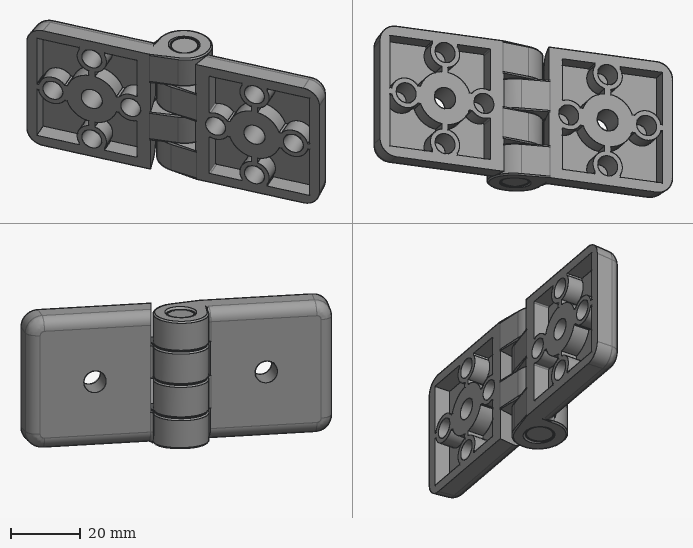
import cadquery as cq
import math

HALF_LENGTH = 45.05
HEIGHT = 40.0
PLATE_THICKNESS = 8.65
DRAFT = 3.0
CORNER_RADIUS = 5.0
RIM_RADIUS = 3.7

AXIS_Y = 9.0
BARREL_RADIUS = 8.0
KNUCKLE_CHAMFER = 0.45
KNUCKLE_GAP = 0.3
KNUCKLE_COUNT = 4
SLOPE_START = 7.2
KNUCKLE_ROOT = 10.8
FILLET_RADIUS = 0.8
PIN_RADIUS = 4.1
PIN_LENGTH = 38.2
PIN_CHAMFER = 0.4
PIN_HOLE_CHAMFER = 0.405

CLEARANCE_FRONT = 6.9
CLEARANCE_BACK = 8.7

POCKET_WALL = 3.1
POCKET_HINGE_EDGE = 11.1
POCKET_DEPTH = 5.05
POCKET_CORNER_RADIUS = 0.4
HOLE_CENTRE = 25.05
HUB_RADIUS = 8.0
THROUGH_RADIUS = 3.2
BOSS_RADIUS = 4.5
BOSS_OFFSET_X = 12.0
BOSS_OFFSET_Z = 14.0
BOSS_NECK_WIDTH = 7.75
RIB_WIDTH = 1.9
BRIDGE_WIDTH = 5.3
BLIND_RADIUS = 3.1
BLIND_END_RADIUS = 2.6
BLIND_DEPTH = 6.8

ROW_HEIGHT = HEIGHT / KNUCKLE_COUNT
SHOULDER_Y = PLATE_THICKNESS - RIM_RADIUS

OVERSIZE = 18.0


def inward_plane(x):
    """Plane on the mounting face, centred at the given X, facing into the plate (+Y)."""
    return cq.Plane(origin=(x, 0, 0), xDir=(1, 0, 0), normal=(0, 1, 0))


def block(x_min, x_max, y_min, y_max, z_min, z_max):
    """Box between the given limits."""
    size = (x_max - x_min, y_max - y_min, z_max - z_min)
    return cq.Workplane("XY").box(*size, centered=False).translate((x_min, y_min, z_min))


def plate():
    """Drafted plate with rounded outer corners and rim, running past the hinge axis."""
    length = HALF_LENGTH + OVERSIZE
    return (
        cq.Workplane(inward_plane((OVERSIZE - HALF_LENGTH) / 2))
        .rect(length, HEIGHT)
        .extrude(PLATE_THICKNESS, taper=DRAFT)
        .edges("not (|X or |Z)")
        .fillet(CORNER_RADIUS)
        .faces(">Y")
        .edges()
        .fillet(RIM_RADIUS)
    )


def knuckle_outline(radius, z, tilt):
    """Outline of a knuckle at height z, tilted about X: a barrel with a tangent sloping web."""
    start_angle = math.atan2(AXIS_Y, SLOPE_START)
    slope = start_angle - math.asin(radius / math.hypot(AXIS_Y, SLOPE_START))
    tangent = (radius * math.sin(slope), AXIS_Y - radius * math.cos(slope))
    mid = radius * math.sqrt(0.5)
    wire = (
        cq.Workplane("XY")
        .moveTo(-KNUCKLE_ROOT, 0)
        .lineTo(-SLOPE_START, 0)
        .lineTo(*tangent)
        .threePointArc((mid, AXIS_Y + mid), (-radius, AXIS_Y))
        .lineTo(-BARREL_RADIUS, SHOULDER_Y)
        .lineTo(-KNUCKLE_ROOT, SHOULDER_Y)
        .close()
        .val()
    )
    return wire.rotate(cq.Vector(0, 0, 0), cq.Vector(1, 0, 0), tilt).translate(cq.Vector(0, 0, z))


def chamfered_end(wide_z, narrow_z, tilt):
    """Chamfered end of a knuckle, between its full outline and the narrower outline of its end face."""
    outlines = [
        knuckle_outline(BARREL_RADIUS, wide_z, tilt),
        knuckle_outline(BARREL_RADIUS - KNUCKLE_CHAMFER, narrow_z, tilt),
    ]
    return cq.Workplane(cq.Solid.makeLoft(outlines, True))


def knuckle(z_min, z_max, top_tilt):
    """Knuckle with rim chamfers that run out along the web."""
    bottom_z = z_min + KNUCKLE_CHAMFER
    top_z = z_max - KNUCKLE_CHAMFER
    outline = knuckle_outline(BARREL_RADIUS, bottom_z, 0)
    middle = cq.Workplane(outline).toPending().extrude(top_z - bottom_z)
    above = block(-OVERSIZE, OVERSIZE, -OVERSIZE, 2 * OVERSIZE, 0, OVERSIZE)
    above = above.rotate((0, 0, 0), (1, 0, 0), top_tilt).translate((0, 0, top_z))
    bottom_end = chamfered_end(bottom_z, z_min, 0)
    top_end = chamfered_end(top_z, z_max, top_tilt)
    return middle.cut(above).union(bottom_end).union(top_end)


def fillet_profile(z):
    """Section of the concave fillet between the plate's back face and the side of the barrel."""
    return (
        cq.Workplane("XY", origin=(-BARREL_RADIUS, PLATE_THICKNESS, z))
        .moveTo(0, FILLET_RADIUS)
        .radiusArc((-FILLET_RADIUS, 0), FILLET_RADIUS)
        .lineTo(0, 0)
        .close()
    )


def top_fillet(z_min):
    """Concave fillet of the top knuckle, which follows the plate's rounded rim to the end face."""
    draft = math.radians(DRAFT)
    rim_z = HEIGHT / 2 - SHOULDER_Y * math.tan(draft) - RIM_RADIUS / math.cos(draft)
    around_rim = fillet_profile(rim_z).revolve(90, (0, -RIM_RADIUS, 0), (1, -RIM_RADIUS, 0))
    envelope = cq.Workplane(inward_plane(0)).rect(2 * HALF_LENGTH, HEIGHT).extrude(OVERSIZE, taper=DRAFT)
    return fillet_profile(z_min).extrude(rim_z - z_min).union(around_rim.intersect(envelope))


def knuckle_seat(z_min, z_max):
    """Part of the plate that a knuckle replaces, up to the side of its barrel."""
    return block(-BARREL_RADIUS, OVERSIZE, 0, PLATE_THICKNESS, z_min, z_max)


def clearance(z_min, z_max):
    """Space for a knuckle of the other leaf, behind a slanted wall."""
    return (
        cq.Workplane("XY", origin=(0, 0, z_min))
        .polyline([
            (-CLEARANCE_FRONT, 0),
            (-CLEARANCE_BACK, PLATE_THICKNESS),
            (OVERSIZE, PLATE_THICKNESS),
            (OVERSIZE, 0),
        ])
        .close()
        .extrude(z_max - z_min)
    )


def boss_places():
    """Offsets of the four screw bosses from the centre of the hub."""
    return [(BOSS_OFFSET_X, 0), (-BOSS_OFFSET_X, 0), (0, BOSS_OFFSET_Z), (0, -BOSS_OFFSET_Z)]


def pocket():
    """Pocket with rounded hinge-side corners, around the hub, bosses and ribs left standing."""
    x_min = -HALF_LENGTH + POCKET_WALL
    x_max = -POCKET_HINGE_EDGE
    half_height = HEIGHT / 2 - POCKET_WALL
    hollow = block(x_min, x_max, 0, POCKET_DEPTH, -half_height, half_height)
    centre = cq.Workplane(inward_plane(-HOLE_CENTRE))
    outer_rib_length = -HOLE_CENTRE - x_min
    neck_height = half_height - BOSS_OFFSET_Z
    islands = (
        centre.circle(HUB_RADIUS).extrude(POCKET_DEPTH)
        .union(centre.pushPoints(boss_places()).circle(BOSS_RADIUS).extrude(POCKET_DEPTH))
        .union(centre.rect(RIB_WIDTH, 2 * BOSS_OFFSET_Z).extrude(POCKET_DEPTH))
        .union(centre.rect(2 * BOSS_OFFSET_X, BRIDGE_WIDTH).extrude(POCKET_DEPTH))
        .union(centre.rect(2 * outer_rib_length, RIB_WIDTH).extrude(POCKET_DEPTH))
    )
    for side in (1, -1):
        neck = centre.center(0, side * (BOSS_OFFSET_Z + neck_height / 2))
        islands = islands.union(neck.rect(BOSS_NECK_WIDTH, neck_height).extrude(POCKET_DEPTH))
    return hollow.cut(islands).faces(">X").edges("|Y").fillet(POCKET_CORNER_RADIUS)


def screw_holes():
    """Through hole in the hub and a tapered blind hole in each boss."""
    holes = cq.Workplane(inward_plane(-HOLE_CENTRE)).circle(THROUGH_RADIUS).extrude(PLATE_THICKNESS)
    inward = cq.Vector(0, 1, 0)
    for offset_x, offset_z in boss_places():
        mouth = cq.Vector(offset_x - HOLE_CENTRE, 0, offset_z)
        blind = cq.Solid.makeCone(BLIND_RADIUS, BLIND_END_RADIUS, BLIND_DEPTH, mouth, inward)
        holes = holes.union(cq.Workplane(blind))
    return holes


def pin_hole():
    """Bore for the pin, chamfered at the outer end of the top knuckle."""
    bore = cq.Workplane("XY").center(0, AXIS_Y).circle(PIN_RADIUS).extrude(HEIGHT, both=True)
    face_z = HEIGHT / 2 - AXIS_Y * math.tan(math.radians(DRAFT))
    rim_radius = PIN_RADIUS + PIN_HOLE_CHAMFER
    cone = cq.Solid.makeCone(0, 2 * rim_radius, 2 * rim_radius)
    cone = cone.translate(cq.Vector(0, AXIS_Y, face_z - rim_radius))
    return bore.union(cq.Workplane(cone))


def leaf():
    """Leaf on the -X side, with the first and third knuckles from the top."""
    half_gap = KNUCKLE_GAP / 2
    top = HEIGHT / 2
    body = plate()
    top_row = (ROW_HEIGHT + half_gap, top)
    third_row = (half_gap - ROW_HEIGHT, -half_gap)
    body = body.cut(knuckle_seat(*top_row)).cut(knuckle_seat(*third_row))
    body = body.cut(clearance(third_row[1], top_row[0]))
    body = body.cut(clearance(-top, third_row[0]))
    body = body.union(knuckle(*top_row, -DRAFT)).union(knuckle(*third_row, 0))
    body = body.union(top_fillet(top_row[0]))
    body = body.union(fillet_profile(third_row[0]).extrude(third_row[1] - third_row[0]))
    return body.cut(pocket()).cut(screw_holes()).cut(pin_hole())


def pin():
    """Hinge pin with chamfered ends."""
    return (
        cq.Workplane("XY", origin=(0, AXIS_Y, -PIN_LENGTH / 2))
        .circle(PIN_RADIUS)
        .extrude(PIN_LENGTH)
        .edges()
        .chamfer(PIN_CHAMFER)
    )


left_leaf = leaf()
right_leaf = leaf().rotate((0, 0, 0), (0, 1, 0), 180)
hinge_pin = pin()

result = cq.Compound.makeCompound([left_leaf.val(), right_leaf.val(), hinge_pin.val()])